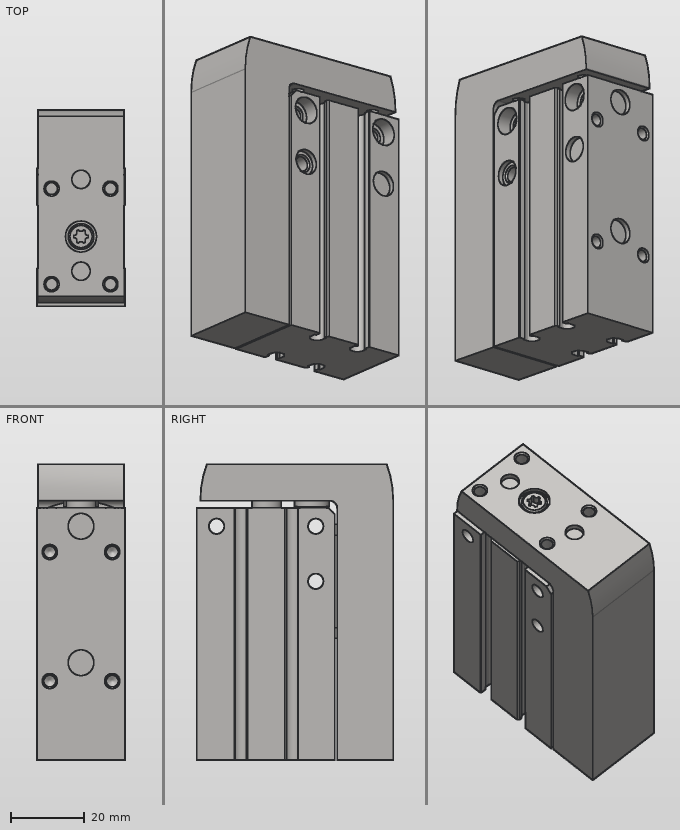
import cadquery as cq
import math


housing_width = 24.0
housing_depth = 37.6
housing_height = 68.7
housing_chamfer = 1.8
table_width = 23.5
table_front = 1.0
table_back = 53.5
table_height = 80.6
head_thickness = 10.0
guide_gap = 0.6
head_underside = table_height - head_thickness
leg_front = housing_depth + guide_gap
side_x = housing_width / 2

land_recess = 0.5
slot_middle_y = 18.95
slot_offset = 7.0
slot_neck_width = 3.0
slot_neck_depth = 1.85
slot_round_diameter = 4.1
slot_outer_chamfer = 0.25
slot_inner_chamfer = 0.5

sleeve_diameter = 7.0
sleeve_depth = 1.6
tapped_diameter = 3.2
tapped_mouth_diameter = 4.1
front_tapped_depth = 7.25
drill_point_angle = 118
front_hole_spacing = 17.0
front_hole_heights = (21.5, 56.7)
front_seat_heights = (26.5, 63.7)

cross_bore_diameter = 4.1
cross_mouth_diameter = 5.0
counterbore_diameter = 7.5
counterbore_depth = 4.5
cross_rear_y = 32.4
cross_front_y = 5.4
cross_upper_z = 63.7
cross_lower_z = 48.7

carriage_bottom = 33.1
carriage_top = 64.2
carriage_width = 16.1
end_cap_length = 3.0
end_cap_width = 14.5

end_inset = 1.8
end_land = 0.3
inner_fillet = 2.0
relief_half_width = 9.3
relief_rise = 1.9
table_seat_diameter = 5.0
table_seat_y = (9.6, 34.6)
table_hole_spacing = 16.0
table_hole_y = (6.05, 32.1)

rod_diameter = 8.1
rod_y = 19.0
screw_bore_diameter = 8.5
screw_bore_depth = 1.1
screw_head_diameter = 7.0
screw_head_height = 0.8
screw_head_chamfer = 0.5
socket_diameter = 3.9
socket_depth = 2.4
socket_lobes = 6
scallop_diameter = 1.7
scallop_circle_radius = 2.25
bumper_y = 31.35
bumper_diameter = 9.5
bumper_tip_diameter = 8.1
bumper_tip_height = 0.3


def box(x_range, y_range, z_range):
    """Box between the given limits on each axis."""
    corner = cq.Vector(x_range[0], y_range[0], z_range[0])
    sizes = [high - low for low, high in (x_range, y_range, z_range)]
    return cq.Workplane(obj=cq.Solid.makeBox(*sizes, corner))


def cylinder(diameter, length, start, direction):
    """Cylinder that runs from a start point along a direction."""
    solid = cq.Solid.makeCylinder(diameter / 2, length, cq.Vector(*start), cq.Vector(*direction))
    return cq.Workplane(obj=solid)


def mouth_chamfer(mouth_diameter, bore_diameter, start, direction):
    """Cone that breaks the edge of a bore at 45 degrees."""
    depth = (mouth_diameter - bore_diameter) / 2
    cone = cq.Solid.makeCone(
        mouth_diameter / 2, bore_diameter / 2, depth, cq.Vector(*start), cq.Vector(*direction)
    )
    return cq.Workplane(obj=cone)


def housing_block():
    """Plain block with a chamfer along its upper rear edge."""
    block = box((-side_x, side_x), (0, housing_depth), (0, housing_height))
    return block.edges(">Y and >Z").chamfer(housing_chamfer)


def sensor_slot():
    """Cutter for the -X slot nearer the rear, with a chamfered neck and a round floor."""
    centre_y = slot_middle_y + slot_offset
    outer_y = centre_y + slot_neck_width / 2
    inner_y = centre_y - slot_neck_width / 2
    radius = slot_round_diameter / 2
    land_x = -side_x + land_recess
    neck_end_x = -side_x + slot_neck_depth
    round_x = neck_end_x + math.sqrt(radius**2 - (slot_neck_width / 2) ** 2)
    return (
        cq.Workplane("XY")
        .moveTo(-side_x, outer_y + slot_outer_chamfer)
        .lineTo(-side_x + slot_outer_chamfer, outer_y)
        .lineTo(neck_end_x, outer_y)
        .lineTo(neck_end_x, centre_y + radius)
        .lineTo(round_x, centre_y + radius)
        .threePointArc((round_x + radius, centre_y), (round_x, centre_y - radius))
        .lineTo(neck_end_x, centre_y - radius)
        .lineTo(neck_end_x, inner_y)
        .lineTo(land_x + slot_inner_chamfer, inner_y)
        .lineTo(land_x, inner_y - slot_inner_chamfer)
        .lineTo(-side_x, inner_y - slot_inner_chamfer)
        .close()
        .extrude(housing_height)
    )


def side_slots():
    """Cutter for the slots and the recessed land on both sides."""
    rear_slot = sensor_slot()
    front_slot = rear_slot.mirror("XZ").translate((0, 2 * slot_middle_y, 0))
    land = box(
        (-side_x, -side_x + land_recess),
        (slot_middle_y - slot_offset, slot_middle_y + slot_offset),
        (0, housing_height),
    )
    left = rear_slot.union(front_slot).union(land)
    return left.union(left.mirror("YZ"))


def cross_hole(y, z, seat_diameter, seat_depth):
    """Cutter for a bore across the housing, with a round seat at its -X end."""
    floor_x = -side_x + seat_depth
    seat = cylinder(seat_diameter, seat_depth, (-side_x, y, z), (1, 0, 0))
    bore = cylinder(cross_bore_diameter, housing_width, (-side_x, y, z), (1, 0, 0))
    mouth = mouth_chamfer(cross_mouth_diameter, cross_bore_diameter, (floor_x, y, z), (1, 0, 0))
    return seat.union(bore).union(mouth)


def front_tapped_hole(x, z):
    """Cutter for a blind hole in the front face, with a drill point."""
    bore = cylinder(tapped_diameter, front_tapped_depth, (x, 0, z), (0, 1, 0))
    mouth = mouth_chamfer(tapped_mouth_diameter, tapped_diameter, (x, 0, z), (0, 1, 0))
    radius = tapped_diameter / 2
    point_length = radius / math.tan(math.radians(drill_point_angle / 2))
    point = cq.Solid.makeCone(
        radius, 0, point_length, cq.Vector(x, front_tapped_depth, z), cq.Vector(0, 1, 0)
    )
    return bore.union(mouth).union(cq.Workplane(obj=point))


def guide_carriage():
    """Carriage with narrower end caps, standing proud of the housing rear face."""
    y_range = (housing_depth, leg_front)
    caps = box(
        (-end_cap_width / 2, end_cap_width / 2), y_range, (carriage_bottom, carriage_top)
    )
    middle = box(
        (-carriage_width / 2, carriage_width / 2),
        y_range,
        (carriage_bottom + end_cap_length, carriage_top - end_cap_length),
    )
    return caps.union(middle)


def make_housing():
    """Housing with its slots, holes, seats and carriage."""
    body = housing_block().cut(side_slots())
    for y in (cross_front_y, cross_rear_y):
        body = body.cut(cross_hole(y, cross_upper_z, counterbore_diameter, counterbore_depth))
    body = body.cut(cross_hole(cross_rear_y, cross_lower_z, sleeve_diameter, sleeve_depth))
    blind_seat_start = (-side_x, cross_front_y, cross_lower_z)
    body = body.cut(cylinder(sleeve_diameter, sleeve_depth, blind_seat_start, (1, 0, 0)))
    for z in front_seat_heights:
        body = body.cut(cylinder(sleeve_diameter, sleeve_depth, (0, 0, z), (0, 1, 0)))
    for z in front_hole_heights:
        for x in (-front_hole_spacing / 2, front_hole_spacing / 2):
            body = body.cut(front_tapped_hole(x, z))
    return body.union(guide_carriage())


def end_arc_middle(base_y, inward):
    """Midpoint of an end arc that leaves the vertical at the top of the end land."""
    rise = head_thickness - end_land
    radius = (rise**2 + end_inset**2) / (2 * end_inset)
    half_angle = math.asin(rise / radius) / 2
    inset = radius * (1 - math.cos(half_angle))
    return (base_y + inward * inset, head_underside + end_land + radius * math.sin(half_angle))


def table_block():
    """L-shaped profile with arched ends on the head and a filleted inner corner."""
    profile = (
        cq.Workplane("YZ", origin=(-table_width / 2, 0, 0))
        .moveTo(leg_front, 0)
        .lineTo(table_back, 0)
        .lineTo(table_back, head_underside + end_land)
        .threePointArc(end_arc_middle(table_back, -1), (table_back - end_inset, table_height))
        .lineTo(table_front + end_inset, table_height)
        .threePointArc(end_arc_middle(table_front, 1), (table_front, head_underside + end_land))
        .lineTo(table_front, head_underside)
        .lineTo(leg_front - inner_fillet, head_underside)
        .radiusArc((leg_front, head_underside - inner_fillet), inner_fillet)
        .close()
    )
    return profile.extrude(table_width)


def corner_relief():
    """Cutter that clears the middle of the inner fillet under a shallow arch."""
    arch_bottom = head_underside - inner_fillet
    return (
        cq.Workplane("XZ", origin=(0, leg_front, 0))
        .moveTo(-relief_half_width, arch_bottom)
        .threePointArc((0, arch_bottom + relief_rise), (relief_half_width, arch_bottom))
        .close()
        .extrude(inner_fillet)
    )


def table_hole(x, y):
    """Cutter for a hole through the head with a chamfered mouth."""
    start = (x, y, table_height)
    bore = cylinder(tapped_diameter, head_thickness, start, (0, 0, -1))
    mouth = mouth_chamfer(tapped_mouth_diameter, tapped_diameter, start, (0, 0, -1))
    return bore.union(mouth)


def screw_socket(top_z):
    """Cutter for the six-lobed drive socket."""
    socket = cylinder(socket_diameter, socket_depth, (0, rod_y, top_z), (0, 0, -1))
    scallops = (
        cq.Workplane("XY", origin=(0, rod_y, top_z - socket_depth))
        .polarArray(scallop_circle_radius, 180 / socket_lobes, 360, socket_lobes)
        .circle(scallop_diameter / 2)
        .extrude(socket_depth)
    )
    return socket.cut(scallops)


def screw_head():
    """Screw head with a chamfered rim, standing on the floor of its bore."""
    floor_z = table_height - screw_bore_depth
    head = cylinder(screw_head_diameter, screw_head_height, (0, rod_y, floor_z), (0, 0, 1))
    return head.faces(">Z").chamfer(screw_head_chamfer)


def piston_rod():
    """Visible length of rod between the housing top and the head."""
    length = head_underside - housing_height
    return cylinder(rod_diameter, length, (0, rod_y, housing_height), (0, 0, 1))


def stop_bumper():
    """Stepped bumper under the head, whose tip rests on the housing top."""
    shoulder_z = housing_height + bumper_tip_height
    tip = cylinder(bumper_tip_diameter, bumper_tip_height, (0, bumper_y, housing_height), (0, 0, 1))
    pad = cylinder(bumper_diameter, head_underside - shoulder_z, (0, bumper_y, shoulder_z), (0, 0, 1))
    return tip.union(pad)


def make_table():
    """Table with its holes, seats, screw, rod and bumper."""
    body = table_block().cut(corner_relief())
    for y in table_hole_y:
        for x in (-table_hole_spacing / 2, table_hole_spacing / 2):
            body = body.cut(table_hole(x, y))
    for y in table_seat_y:
        body = body.cut(cylinder(table_seat_diameter, sleeve_depth, (0, y, table_height), (0, 0, -1)))
    screw_bore_start = (0, rod_y, table_height)
    body = body.cut(cylinder(screw_bore_diameter, screw_bore_depth, screw_bore_start, (0, 0, -1)))
    body = body.union(screw_head())
    body = body.cut(screw_socket(table_height - screw_bore_depth + screw_head_height))
    return body.union(piston_rod()).union(stop_bumper())


housing = make_housing().solids()
table = make_table().solids()
result = cq.Compound.makeCompound([housing.val(), table.val()])